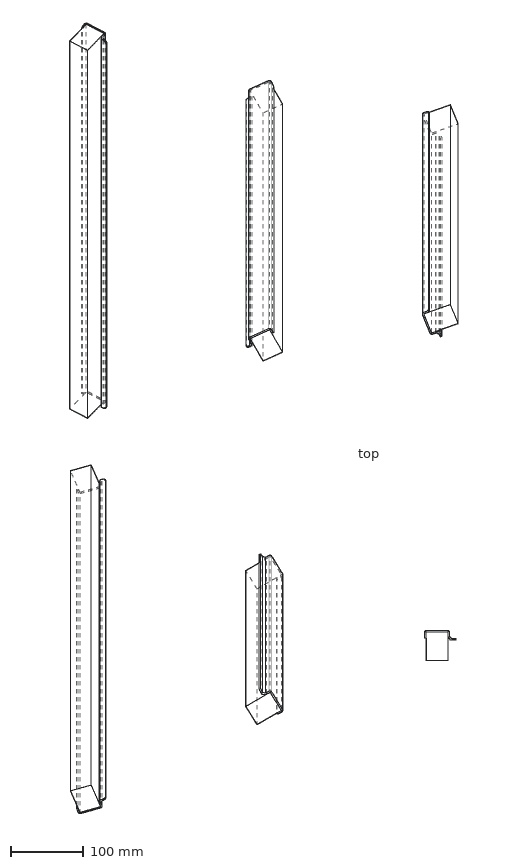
import cadquery as cq

length = 742.0
total_width = 44.0
total_depth = 41.5

sheet = 2.0
lip_depth = 10.5
strip_width = 35.0
wing_front = 13.0
back_bend = 3.0
lean_start = 8.0
leg_lean = 3.0
corner_radius = 5.0

left = -total_width / 2
right = total_width / 2
back = total_depth / 2
front = -total_depth / 2
bottom = -length / 2

bar_left = left + sheet
bar_right = left + strip_width - sheet
bar_back = back - sheet


def make_bar():
    """Plain rectangular bar over the full length."""
    width = bar_right - bar_left
    depth = bar_back - front
    return cq.Workplane("XY", origin=(bar_left, front, bottom)).box(width, depth, length, centered=False)


def slab(x_start, x_end, y_start, y_end):
    """Flat length of sheet between two X and two Y places, over the full length."""
    return (
        cq.Workplane("XY", origin=(x_start, y_start, bottom))
        .box(x_end - x_start, y_end - y_start, length, centered=False)
    )


def make_leg():
    """Right leg: straight next to the back, then leaning away from the bar towards the wing."""
    outside = bar_right + sheet
    lean_y = back - lean_start
    wing_y = back - wing_front
    outline = [
        (bar_right, back),
        (outside, back),
        (outside, lean_y),
        (outside + leg_lean, wing_y + sheet),
        (outside + leg_lean, wing_y),
        (bar_right + leg_lean, wing_y),
        (bar_right, lean_y),
    ]
    return cq.Workplane("XY", origin=(0, 0, bottom)).polyline(outline).close().extrude(length)


def make_strip():
    """Bent strip: left lip, back, right leg and a wing pointing to the right."""
    back_right = left + strip_width
    wing_y = back - wing_front

    lip = slab(left, bar_left, back - lip_depth, back).edges("|X and <Y").fillet(corner_radius)
    back_plate = slab(left, back_right, bar_back, back)
    wing = slab(bar_right + leg_lean, right, wing_y, wing_y + sheet).edges("|Y and >X").fillet(corner_radius)
    strip = back_plate.union(lip).union(make_leg()).union(wing)

    for x in (left, back_right):
        strip = strip.edges(cq.selectors.NearestToPointSelector((x, back, 0))).fillet(back_bend)
    return strip


bar = make_bar()
strip = make_strip()
result = cq.Compound.makeCompound([bar.val(), strip.val()])